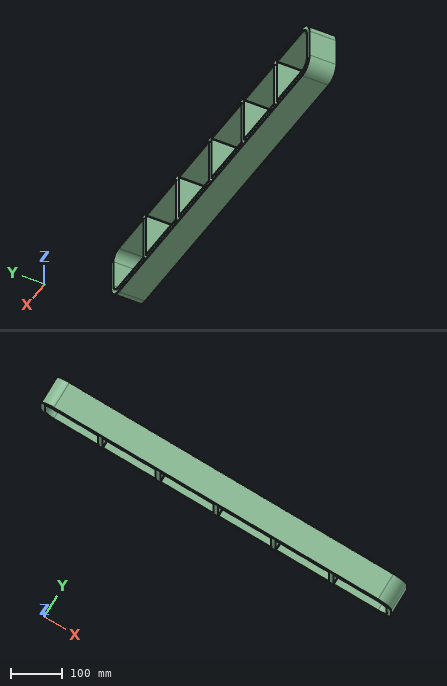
import cadquery as cq

length = 793.0
depth = 60.0
height = 121.0

wall = 10.0
outer_radius = 30.0
inner_radius = outer_radius - wall
bay_count = 6
bay_pitch = (length - wall) / bay_count


def rounded_bar(bar_length, bar_height, radius):
    """Bar centred on the origin, with its four edges along Y rounded."""
    return cq.Workplane("XY").box(bar_length, depth, bar_height).edges("|Y").fillet(radius)


outer = rounded_bar(length, height, outer_radius)
opening = rounded_bar(length - 2 * wall, height - 2 * wall, inner_radius)
result = outer.cut(opening)

for index in range(1, bay_count):
    divider_x = (index - bay_count / 2) * bay_pitch
    divider = cq.Workplane("XY").box(wall, depth, height - wall)
    result = result.union(divider.translate((divider_x, 0, 0)))